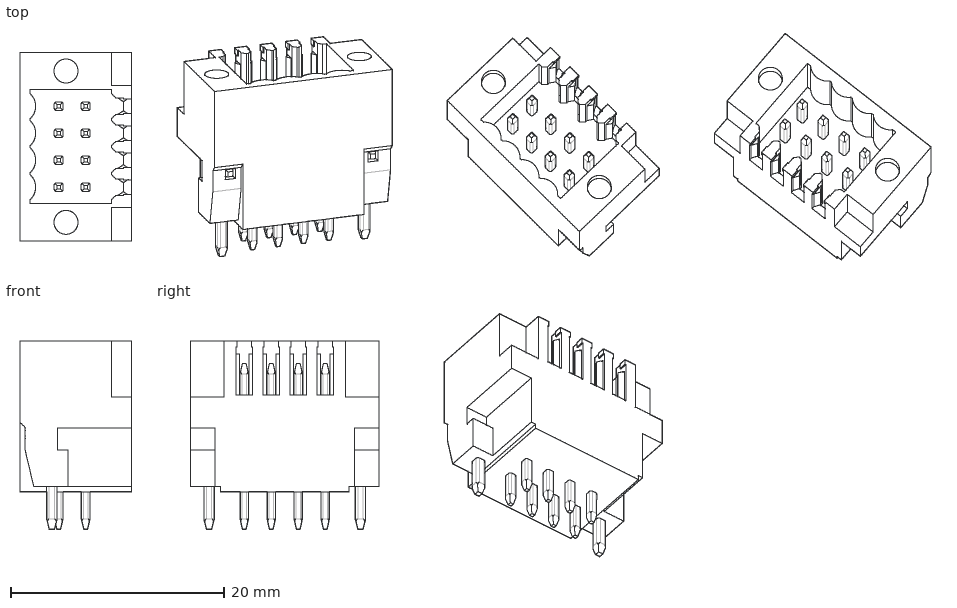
import cadquery as cq


depth = 10.5
width = 17.72
height = 14.18
pin_drop = 3.53

shoulder_x = 8.61
shoulder_width = 3.14
shoulder_z = 8.9
leg_bottom_z = 0.5
core_width = 12.09
recess_width = 13.11

leg_back_x = 0.5
leg_slope_z = 3.95
leg_toe_x = 1.31
leg_front_x = 4.52
leg_notch_x = 3.53
leg_notch_z = 6.0
leg_chamfer_z = 6.06

pitch = 2.53
rows = 4
row_ys = [(row - (rows - 1) / 2) * pitch for row in range(rows)]
first_contact_x = 3.65
contact_xs = [first_contact_x, first_contact_x + pitch]

cavity_floor_z = 7.07
cavity_back_x = 0.97
cavity_width = 10.7
rib_chord = 2.34
rib_rise = 0.51

slot_width = 1.56
slot_mouth_width = rib_chord
mouth_depth = (slot_mouth_width - slot_width) / 2
ledge_x = 9.73
ledge_z = 9.1
lip_reach = 0.1
lip_height = 0.58
ridge_reach = 0.35
ridge_half_base = 0.53
ridge_top_z = 12.94

hole_x = 4.35
hole_y = 7.1
hole_diameter = 2.25
hole_depth = 1.2

contact_size = (0.83, 0.8)
contact_tip = (0.35, 0.35)
contact_fillet = 0.2
contact_top_z = 12.05
post_size = (1.0, 1.0)
post_tip = (0.5, 0.5)
post_fillet = 0.25
post_x = 3.01
post_tail_z = 5.51
tip_length = 1.0


def box(x0, x1, y0, y1, z0, z1):
    """Box between the given limits."""
    return cq.Workplane("XY").box(x1 - x0, y1 - y0, z1 - z0, centered=False).translate((x0, y0, z0))


def taper(plane, base, tip, length):
    """Frustum with a rectangular base and tip, rising along the plane's normal."""
    return cq.Workplane(plane).rect(*base).workplane(offset=length).rect(*tip).loft(ruled=True)


def pin(x, y, z_bottom, z_top, size, tip, fillet, tapered_top):
    """Vertical bar with rounded edges and a square-cornered taper at its ends."""
    bar = cq.Workplane("XY").box(*size, z_top - z_bottom, centered=(True, True, False))
    bar = bar.edges("|Z").fillet(fillet).translate((0, 0, z_bottom))
    core_top = z_top - tip_length if tapered_top else z_top
    core_bottom = z_bottom + tip_length
    envelope = cq.Workplane("XY").box(*size, core_top - core_bottom, centered=(True, True, False))
    envelope = envelope.translate((0, 0, core_bottom))
    lower = cq.Plane(origin=(0, 0, core_bottom), xDir=(1, 0, 0), normal=(0, 0, -1))
    envelope = envelope.union(taper(lower, size, tip, tip_length))
    if tapered_top:
        upper = cq.Plane(origin=(0, 0, core_top), xDir=(1, 0, 0), normal=(0, 0, 1))
        envelope = envelope.union(taper(upper, size, tip, tip_length))
    return bar.intersect(envelope).translate((x, y, 0))


def shell():
    """Housing outside: a side profile with legs, plus the recessed and full-height middle."""
    side = (
        cq.Workplane("XZ", origin=(0, width / 2, 0))
        .moveTo(0, height)
        .lineTo(0, leg_chamfer_z + leg_back_x)
        .lineTo(leg_back_x, leg_chamfer_z)
        .lineTo(leg_back_x, leg_slope_z)
        .lineTo(leg_toe_x, leg_bottom_z)
        .lineTo(leg_front_x, leg_bottom_z)
        .lineTo(leg_front_x, leg_slope_z)
        .lineTo(leg_notch_x, leg_slope_z)
        .lineTo(leg_notch_x, leg_notch_z)
        .lineTo(depth, leg_notch_z)
        .lineTo(depth, height)
        .close()
        .extrude(width)
    )
    recess = box(leg_notch_x, depth, -recess_width / 2, recess_width / 2, leg_bottom_z, height)
    core = box(0, depth, -core_width / 2, core_width / 2, 0, height)
    body = side.union(recess).union(core)
    inner_y = width / 2 - shoulder_width
    body = body.cut(box(shoulder_x, depth, inner_y, width / 2, shoulder_z, height))
    return body.cut(box(shoulder_x, depth, -width / 2, -inner_y, shoulder_z, height))


def cavity():
    """Cavity whose back wall carries one arched rib per contact row."""
    outline = cq.Workplane("XY").moveTo(shoulder_x, -cavity_width / 2).lineTo(cavity_back_x, -cavity_width / 2)
    for y in row_ys:
        outline = outline.lineTo(cavity_back_x, y - rib_chord / 2)
        outline = outline.threePointArc((cavity_back_x + rib_rise, y), (cavity_back_x, y + rib_chord / 2))
    outline = outline.lineTo(cavity_back_x, cavity_width / 2).lineTo(shoulder_x, cavity_width / 2).close()
    return outline.extrude(height - cavity_floor_z).translate((0, 0, cavity_floor_z))


def slot(y):
    """Slot with a chamfered mouth, a stepped floor, lips at the top and a ridge on each wall."""
    mouth_end_x = shoulder_x + mouth_depth
    opening = (
        cq.Workplane("XY")
        .moveTo(shoulder_x, -slot_mouth_width / 2)
        .lineTo(mouth_end_x, -slot_width / 2)
        .lineTo(ledge_x, -slot_width / 2)
        .lineTo(ledge_x, slot_width / 2)
        .lineTo(mouth_end_x, slot_width / 2)
        .lineTo(shoulder_x, slot_mouth_width / 2)
        .close()
        .extrude(height - cavity_floor_z)
        .translate((0, 0, cavity_floor_z))
    )
    half = slot_width / 2
    opening = opening.union(box(ledge_x, depth, -half, half, ledge_z, height))
    for side in (-1, 1):
        wall_y = side * half
        lip_y = wall_y - side * lip_reach
        lip = box(ledge_x, depth, min(wall_y, lip_y), max(wall_y, lip_y), height - lip_height, height)
        ridge = (
            cq.Workplane("XY", origin=(0, 0, cavity_floor_z))
            .moveTo(ledge_x - ridge_half_base, wall_y)
            .lineTo(ledge_x, wall_y - side * ridge_reach)
            .lineTo(ledge_x + ridge_half_base, wall_y)
            .close()
            .extrude(ridge_top_z - cavity_floor_z)
        )
        opening = opening.cut(lip).cut(ridge)
    return opening.translate((0, y, 0))


def post_tail_hole(y):
    """Square hole around the tapered end of a post, which stands level with the leg's back."""
    mouth = cq.Plane(origin=(leg_back_x + tip_length, y, post_tail_z), xDir=(0, 1, 0), normal=(-1, 0, 0))
    hole = cq.Workplane(mouth).rect(*post_size).extrude(tip_length)
    return hole.cut(taper(mouth, post_size, post_tip, tip_length))


def contact(x, y):
    """Contact running from below the base up into the cavity."""
    return pin(x, y, -pin_drop, contact_top_z, contact_size, contact_tip, contact_fillet, True)


def post(y):
    """Solder post below a leg."""
    return pin(post_x, y, -pin_drop, leg_slope_z, post_size, post_tip, post_fillet, False)


result = shell().cut(cavity())
for y in row_ys:
    result = result.cut(slot(y))
for y in (-hole_y, hole_y):
    hole = cq.Workplane("XY").circle(hole_diameter / 2).extrude(hole_depth)
    result = result.cut(hole.translate((hole_x, y, height - hole_depth)))
    result = result.cut(post_tail_hole(y))
    result = result.union(post(y))
for y in row_ys:
    for x in contact_xs:
        result = result.union(contact(x, y))